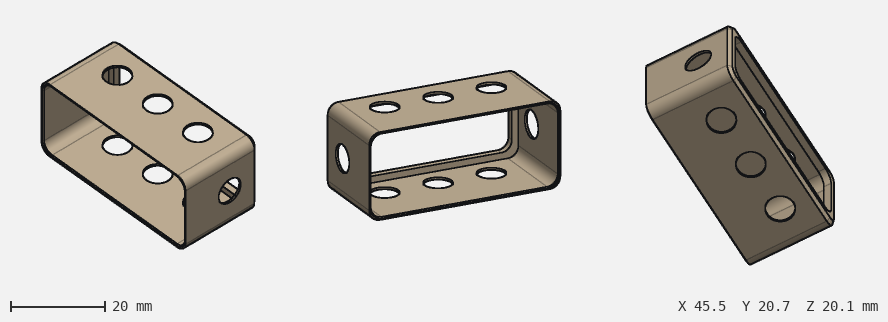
import cadquery as cq

length = 45.45
depth = 20.65
height = 20.05
corner_radius = 2.6

wall = 0.55
flange_thickness = 1.75
cavity_radius = 2.5
opening_inset = 2.1
opening_radius = 2.5
back_chamfer = 0.8

rim_wall = 0.27
bevel_width = wall - rim_wall

hole_diameter = 6.35
hole_pitch = 12.7
hole_from_back = 7.9


def rounded_block(inset, radius, front, back):
    """Block along Y, inset from the outer walls, with its four long edges rounded."""
    return (
        cq.Workplane("XY")
        .box(length - 2 * inset, back - front, height - 2 * inset)
        .edges("|Y")
        .fillet(radius)
        .translate((0, (front + back) / 2, 0))
    )


def sleeve():
    """Chamfered shell, open at the front, with a flanged opening at the back."""
    outer = rounded_block(0, corner_radius, 0, depth).faces(">Y").chamfer(back_chamfer)
    cavity = rounded_block(wall, cavity_radius, 0, depth - flange_thickness)
    rim_bevel = (
        cq.Workplane("XZ")
        .sketch()
        .rect(length - 2 * rim_wall, height - 2 * rim_wall)
        .vertices()
        .fillet(cavity_radius + bevel_width)
        .finalize()
        .extrude(-bevel_width, taper=45)
    )
    opening = rounded_block(opening_inset, opening_radius, 0, depth)
    return outer.cut(cavity).cut(rim_bevel).cut(opening)


def wall_holes():
    """Three vertical drills through top and bottom, and one through both ends."""
    hole_y = depth - hole_from_back
    vertical = (
        cq.Workplane("XY")
        .pushPoints([(i * hole_pitch, hole_y) for i in (-1, 0, 1)])
        .circle(hole_diameter / 2)
        .extrude(height, both=True)
    )
    lengthwise = (
        cq.Workplane("YZ")
        .center(hole_y, 0)
        .circle(hole_diameter / 2)
        .extrude(length, both=True)
    )
    return vertical.union(lengthwise)


result = sleeve().cut(wall_holes())